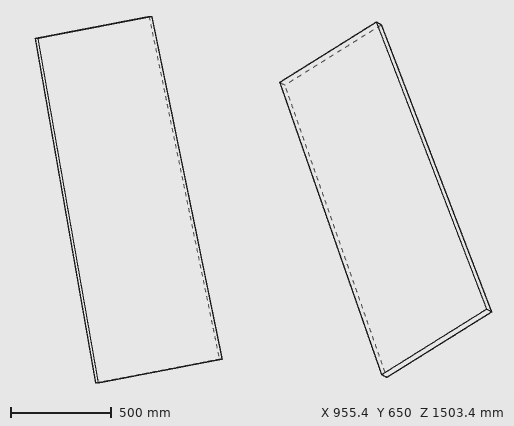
import cadquery as cq
import math

thickness = 50.0
length = 1736.42
top_width = 598.0
bottom_width = 649.99
tilt_from_vertical = 31.7178


def tilted_board():
    sine = math.sin(math.radians(tilt_from_vertical))
    cosine = math.cos(math.radians(tilt_from_vertical))
    underside = cq.Plane(
        origin=(0, 0, length * cosine),
        xDir=(sine, 0, -cosine),
        normal=(cosine, 0, sine),
    )
    outline = [
        (0, 0),
        (length, 0),
        (length, bottom_width),
        (0, top_width),
    ]
    return cq.Workplane(underside).polyline(outline).close().extrude(thickness)


result = tilted_board()